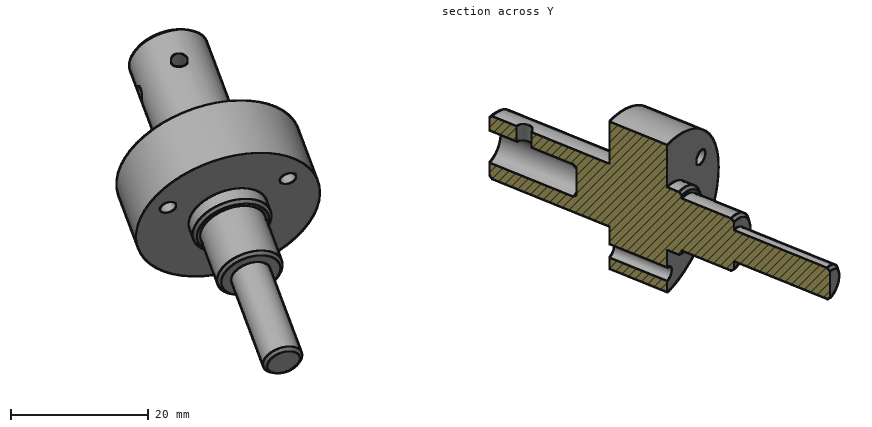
import cadquery as cq

total_length = 58.8
flange_start = 20.7
flange_thickness = 10.0
sleeve_end = 33.2
boss_end = 42.2

sleeve_diameter = 12.0
flange_diameter = 28.0
boss_diameter = 10.0
pin_diameter = 6.0
bore_diameter = pin_diameter
small_hole_diameter = 2.45

edge_chamfer = 0.5
bore_depth = 15.0
cross_hole_position = 6.0
bolt_circle_radius = 10.5
bolt_count = 3
first_bolt_angle = -90.0


def cylinder(diameter, start, end):
    """Solid cylinder on the X axis between two stations."""
    return cq.Workplane("YZ", origin=(start, 0, 0)).circle(diameter / 2).extrude(end - start)


def make_body():
    """Stepped shaft with a flange and chamfered shoulders."""
    sleeve = cylinder(sleeve_diameter, 0, sleeve_end).faces("<X or >X").chamfer(edge_chamfer)
    flange = cylinder(flange_diameter, flange_start, flange_start + flange_thickness)
    boss = cylinder(boss_diameter, flange_start, boss_end).faces(">X").chamfer(edge_chamfer)
    pin = cylinder(pin_diameter, flange_start, total_length).faces(">X").chamfer(edge_chamfer)
    return sleeve.union(flange).union(boss).union(pin)


def make_bore():
    """Blind bore whose floor has a chamfered rim."""
    return cylinder(bore_diameter, 0, bore_depth).faces(">X").chamfer(edge_chamfer)


def make_bolt_holes():
    """Through holes spaced evenly around the flange."""
    return (
        cq.Workplane("YZ", origin=(flange_start, 0, 0))
        .polarArray(bolt_circle_radius, first_bolt_angle, 360, bolt_count)
        .circle(small_hole_diameter / 2)
        .extrude(flange_thickness)
    )


def make_cross_hole(direction):
    """Radial hole through one wall of the sleeve into the bore."""
    return cq.Workplane(
        cq.Solid.makeCylinder(
            small_hole_diameter / 2,
            sleeve_diameter / 2,
            cq.Vector(cross_hole_position, 0, 0),
            direction,
        )
    )


result = make_body().cut(make_bore()).cut(make_bolt_holes())
for outward in (cq.Vector(0, -1, 0), cq.Vector(0, 0, 1)):
    result = result.cut(make_cross_hole(outward))